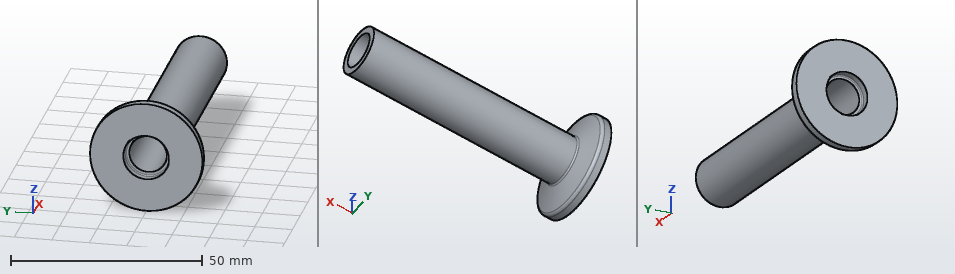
import cadquery as cq
import math

length = 70.0
flange_diameter = 30.0
tube_diameter = 14.0
bore_diameter = 10.0

rim_thickness = 3.0
cone_angle = 15.0
rim_fillet = 1.0
neck_fillet = 0.5

counterbore_diameter = 12.2
counterbore_depth = 2.5
counterbore_fillet = 0.3

full_turn = 360
selection_margin = 0.01
flange_radius = flange_diameter / 2
tube_radius = tube_diameter / 2
cone_length = (flange_radius - tube_radius) * math.tan(math.radians(cone_angle))
neck_position = rim_thickness + cone_length


def revolve_about_x(points):
    """Revolve a closed (X, radius) outline a full turn about the X axis."""
    return cq.Workplane("XY").polyline(points).close().revolve(full_turn, (0, 0, 0), (1, 0, 0))


def edge_near(position):
    """Select the circular edge centred on the axis at the given X position."""
    return cq.selectors.BoxSelector(
        (position - selection_margin, -selection_margin, -selection_margin),
        (position + selection_margin, selection_margin, selection_margin),
    )


def make_flanged_tube():
    """Solid flange, cone and tube with the rim and neck rounded."""
    outline = [
        (0, 0),
        (0, flange_radius),
        (rim_thickness, flange_radius),
        (neck_position, tube_radius),
        (length, tube_radius),
        (length, 0),
    ]
    body = revolve_about_x(outline)
    body = body.edges(edge_near(rim_thickness)).fillet(rim_fillet)
    return body.edges(edge_near(neck_position)).fillet(neck_fillet)


def make_counterbore():
    """Cutter for the counterbore, rounded at its floor."""
    cutter = cq.Workplane("YZ").circle(counterbore_diameter / 2).extrude(counterbore_depth)
    return cutter.faces(">X").edges().fillet(counterbore_fillet)


def make_bore():
    """Cutter for the bore that runs the full length."""
    return cq.Workplane("YZ").circle(bore_diameter / 2).extrude(length)


result = make_flanged_tube().cut(make_counterbore()).cut(make_bore())